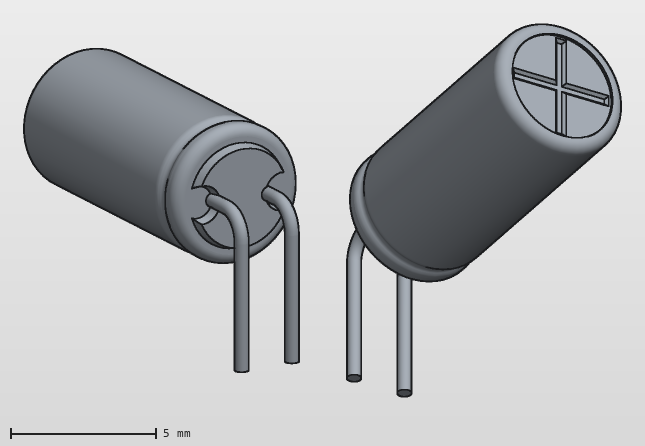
import cadquery as cq
import math

can_diameter = 5.01
can_radius = can_diameter / 2
can_length = 10.51
edge_radius = 0.4

groove_center = 9.57
groove_half_width = 0.402
groove_depth = 0.134
shoulder_radius = edge_radius

recess_diameter = 4.0
recess_depth = 0.1
cross_length = 3.82
cross_width = 0.42
cross_taper = 0.11
cross_depth = 0.11

plug_length = 0.37
plug_base_radius = 1.89
plug_taper = 0.11
notch_offset = 1.6
notch_base_radius = 0.57

lead_diameter = 0.5
lead_pitch = 2.0
bend_radius = 1.0
overall_length = 12.76
overall_height = 8.1
leg_x = overall_length - lead_diameter / 2
lead_bottom = can_radius - overall_height


def make_can():
    """Revolve the can profile, with rounded ends and the crimp groove, about X."""
    blend_angle = 2 * math.atan(groove_depth / groove_half_width)
    floor_radius = groove_half_width / math.sin(blend_angle) - shoulder_radius
    shoulder_width = shoulder_radius * math.sin(blend_angle)
    shoulder_drop = shoulder_radius * (1 - math.cos(blend_angle))
    floor_half_width = floor_radius * math.sin(blend_angle)

    groove_start = groove_center - groove_half_width
    groove_end = groove_center + groove_half_width
    shoulder_mid_width = shoulder_radius * math.sin(blend_angle / 2)
    shoulder_mid_drop = shoulder_radius * (1 - math.cos(blend_angle / 2))
    shoulder_mid_y = can_radius - shoulder_mid_drop
    shoulder_end_y = can_radius - shoulder_drop
    floor_y = can_radius - groove_depth
    corner_mid = edge_radius * (1 - math.sqrt(0.5))

    profile = (
        cq.Workplane("XY")
        .lineTo(0, can_radius - edge_radius)
        .threePointArc((corner_mid, can_radius - corner_mid), (edge_radius, can_radius))
        .lineTo(groove_start, can_radius)
        .threePointArc(
            (groove_start + shoulder_mid_width, shoulder_mid_y),
            (groove_start + shoulder_width, shoulder_end_y),
        )
        .threePointArc((groove_center, floor_y), (groove_center + floor_half_width, shoulder_end_y))
        .threePointArc((groove_end - shoulder_mid_width, shoulder_mid_y), (groove_end, can_radius))
        .lineTo(can_length - edge_radius, can_radius)
        .threePointArc(
            (can_length - corner_mid, can_radius - corner_mid),
            (can_length, can_radius - edge_radius),
        )
        .lineTo(can_length, 0)
        .close()
    )
    return profile.revolve(360, (0, 0, 0), (1, 0, 0))


def tapered_slot(size_y, size_z):
    """Make one arm of the cross, narrowing from the recess floor inward."""
    return (
        cq.Workplane("YZ", origin=(recess_depth, 0, 0))
        .rect(size_y, size_z)
        .workplane(offset=cross_depth)
        .rect(size_y - 2 * cross_taper, size_z - 2 * cross_taper)
        .loft(ruled=True)
    )


def cone_along_x(center_y, base_radius, tip_radius):
    """Make a truncated cone spanning the length of the plug."""
    cone = cq.Solid.makeCone(
        base_radius, tip_radius, plug_length, cq.Vector(can_length, center_y, 0), cq.Vector(1, 0, 0)
    )
    return cq.Workplane(obj=cone)


def make_plug():
    """Make the plug: its outside shrinks and its notches widen by the same taper."""
    plug = cone_along_x(0, plug_base_radius, plug_base_radius - plug_taper)
    for side in (-1, 1):
        notch = cone_along_x(side * notch_offset, notch_base_radius, notch_base_radius + plug_taper)
        plug = plug.cut(notch)
    return plug


def make_lead(center_y):
    """Sweep a round wire out of the can and through a right-angle bend down."""
    start_x = can_length - edge_radius
    bend_start_x = leg_x - bend_radius
    path = (
        cq.Workplane("XZ", origin=(0, center_y, 0))
        .moveTo(start_x, 0)
        .lineTo(bend_start_x, 0)
        .radiusArc((leg_x, -bend_radius), bend_radius)
        .lineTo(leg_x, lead_bottom)
    )
    section = cq.Workplane("YZ", origin=(start_x, center_y, 0)).circle(lead_diameter / 2)
    return section.sweep(path)


recess = cq.Workplane("YZ").circle(recess_diameter / 2).extrude(recess_depth)
result = make_can().cut(recess)
result = result.cut(tapered_slot(cross_length, cross_width))
result = result.cut(tapered_slot(cross_width, cross_length))
result = result.union(make_plug())
for side in (-1, 1):
    result = result.union(make_lead(side * lead_pitch / 2))